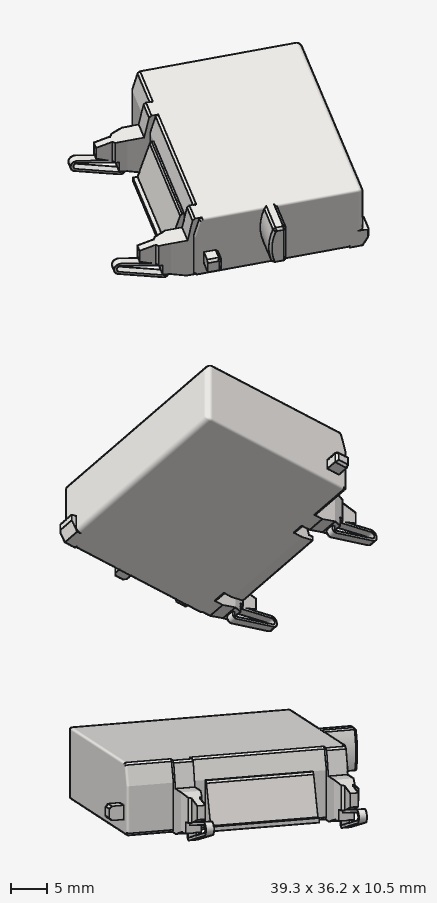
import cadquery as cq
import math

body_width = 32.4
body_depth = 24.3
body_height = 10.2
crease_height = 7.08
front_lean = 0.87
back_radius = 0.8
side_radius = 0.36
front_chamfer = 0.3
bottom_chamfer = 0.4

leg_width = 2.85
leg_centers = (8.2, 30.6)
leg_root = 1.5
leg_bevel_start = 0.2
leg_bevel_end = -0.15
leg_step = -0.85
leg_top = 6.42
leg_underside_start = -1.0
leg_shoulder = -3.24
leg_seat = -4.36
leg_seat_bottom = 0.8
leg_taper_end = -4.9
leg_taper_half_width = 1.0
finger_root = -5.16
finger_tip = -7.5
finger_width = 1.18
finger_tip_top = 5.38
finger_tip_bottom = 3.42
finger_root_bottom = 2.4

clip_width = finger_width
clip_thickness = 0.42
clip_back = -3.38
clip_tip = -11.17
clip_top_at_origin = 1.35
clip_top_slope = -0.23
clip_bottom_at_origin = -1.63
clip_bottom_slope = -0.328
clip_heel_radius = 0.6

panel_left = 11.42
panel_right = 27.12
panel_top = crease_height
panel_rim = 0.3
panel_face_top = (-0.56, 6.75)
panel_face_bottom = (-2.3, 1.1)
lip_front = -2.96
lip_bottom = 0.45
lip_slope_start = -1.1

peg_size = 2.02
peg_front = 1.38
peg_bottom = 2.08
left_peg_length = 2.1
right_peg_length = 2.0
peg_chamfer = 0.36

knob_length = 4.8
knob_bottom = 4.23
knob_back = 11.86
knob_shoulder_front = 10.03
knob_bulge = (9.44, 6.9)
knob_bottom_front = 9.83
knob_chamfer = 0.36
knob_chamfer_drop = 0.22

tab_left = 29.6
tab_reach = 0.75
tab_root = 2.0
tab_root_top = 2.8
tab_tip_top = 2.65
tab_tip_bottom = 1.6
tab_foot_inset = 0.2
tab_chamfer = 0.2

overlap = 1.0


def extrude_along_x(profile, x_start, x_end):
    """Extrude a closed list of (Y, Z) points between two X positions."""
    plane = cq.Workplane("YZ", origin=(x_start, 0, 0))
    return plane.polyline(profile).close().extrude(x_end - x_start)


def make_body():
    body = extrude_along_x(
        [
            (0, 0),
            (body_depth, 0),
            (body_depth, body_height),
            (front_lean, body_height),
            (0, crease_height),
        ],
        0,
        body_width,
    )
    body = body.faces("<Y").edges("<Z").chamfer(bottom_chamfer)
    body = body.faces(">Z").edges("<Y").chamfer(front_chamfer)
    body = body.faces(">Y").edges().fillet(back_radius)
    return body.faces("<X or >X").edges().fillet(side_radius)


def make_leg(center):
    half_width = leg_width / 2
    side = extrude_along_x(
        [
            (leg_root, 0),
            (leg_root, body_height),
            (leg_bevel_start, body_height),
            (leg_bevel_end, body_height - front_chamfer),
            (leg_step, leg_top),
            (leg_shoulder, leg_top),
            (finger_tip, finger_tip_top),
            (finger_tip, finger_tip_bottom),
            (finger_root, finger_root_bottom),
            (leg_seat, finger_root_bottom),
            (leg_seat, leg_seat_bottom),
            (leg_shoulder, leg_seat_bottom),
            (leg_underside_start, 0),
        ],
        center - half_width,
        center + half_width,
    )
    right_edge = [
        (half_width, leg_root),
        (half_width, leg_shoulder),
        (leg_taper_half_width, leg_taper_end),
        (finger_width / 2, finger_root),
        (finger_width / 2, finger_tip),
    ]
    left_edge = [(-x, y) for x, y in reversed(right_edge)]
    plan = (
        cq.Workplane("XY", origin=(center, 0, 0))
        .polyline(right_edge + left_edge)
        .close()
        .extrude(body_height)
    )
    return side.intersect(plan)


def clip_outline(center):
    """Outline of two slightly converging strands joined by a round tip."""
    top_angle = math.atan(clip_top_slope)
    bottom_angle = math.atan(clip_bottom_slope)

    def top_strand(y):
        return clip_top_at_origin + clip_top_slope * y

    def bottom_strand(y):
        return clip_bottom_at_origin + clip_bottom_slope * y

    radius_to_gap = 1 / math.cos(top_angle) + 1 / math.cos(bottom_angle)
    gap_slope = clip_top_slope - clip_bottom_slope
    tip_gap = top_strand(clip_tip) - bottom_strand(clip_tip)
    tip_radius = tip_gap / (radius_to_gap - gap_slope)
    tip_y = clip_tip + tip_radius
    tip_z = bottom_strand(tip_y) + tip_radius / math.cos(bottom_angle)
    arc_start_y = tip_y - tip_radius * math.sin(top_angle)
    arc_end_y = tip_y + tip_radius * math.sin(bottom_angle)

    return (
        cq.Workplane("YZ", origin=(center - clip_width / 2, 0, 0))
        .moveTo(clip_back, top_strand(clip_back))
        .lineTo(arc_start_y, top_strand(arc_start_y))
        .threePointArc((clip_tip, tip_z), (arc_end_y, bottom_strand(arc_end_y)))
        .lineTo(clip_back, bottom_strand(clip_back))
        .close()
    )


def make_clip(center):
    """Closed wire loop with a rounded heel."""
    heel = "|X and (>Y and <Z)"
    loop = clip_outline(center).extrude(clip_width).edges(heel).fillet(clip_heel_radius)
    opening = clip_outline(center).offset2D(-clip_thickness, "intersection").extrude(clip_width)
    opening = opening.edges(heel).fillet(clip_heel_radius - clip_thickness)
    return loop.cut(opening)


def make_panel():
    profile = [
        (overlap, panel_top),
        (-panel_rim, panel_top),
        panel_face_top,
        panel_face_bottom,
        (lip_front, panel_face_bottom[1]),
        (lip_front, lip_bottom),
        (lip_slope_start, 0),
        (overlap, 0),
    ]
    return extrude_along_x(profile, panel_left, panel_right)


def make_peg(x_start, length, end_face, square_edges):
    """Square peg along X with a beveled upper back edge and a beveled end.

    The end edges picked by square_edges stay sharp.
    """
    peg = cq.Workplane("XY").box(length, peg_size, peg_size, centered=False)
    peg = peg.translate((x_start, peg_front, peg_bottom))
    peg = peg.edges("|X and >Y and >Z").chamfer(peg_chamfer)
    return peg.faces(end_face).edges(f"not ({square_edges})").chamfer(peg_chamfer)


def make_knob():
    """Upright grip on the right side, with a bulging front face."""
    length = overlap + knob_length
    shoulder_height = body_height - knob_chamfer_drop
    knob = (
        cq.Workplane("YZ", origin=(body_width - overlap, 0, 0))
        .moveTo(knob_back, knob_bottom)
        .lineTo(knob_back, shoulder_height)
        .lineTo(knob_back - knob_chamfer, body_height)
        .lineTo(knob_shoulder_front + knob_chamfer, body_height)
        .lineTo(knob_shoulder_front, shoulder_height)
        .threePointArc(knob_bulge, (knob_bottom_front, knob_bottom))
        .close()
        .extrude(length)
    )
    return knob.faces(">X").edges("not <Z").chamfer(knob_chamfer)


def make_tab():
    tab_end = body_depth + tab_reach
    profile = [
        (body_depth - tab_root, tab_root_top),
        (body_depth, tab_root_top),
        (tab_end, tab_tip_top),
        (tab_end, tab_tip_bottom),
        (body_depth - tab_foot_inset, 0),
        (body_depth - tab_root, 0),
    ]
    tab = extrude_along_x(profile, tab_left, body_width)
    return tab.faces(">Y").edges(">X").chamfer(tab_chamfer)


result = make_body()
for leg_center in leg_centers:
    result = result.union(make_leg(leg_center)).union(make_clip(leg_center))
result = (
    result.union(make_panel())
    .union(make_peg(-left_peg_length, left_peg_length + overlap, "<X", "<Y"))
    .union(make_peg(body_width - overlap, overlap + right_peg_length, ">X", "<Y or <Z"))
    .union(make_knob())
    .union(make_tab())
)